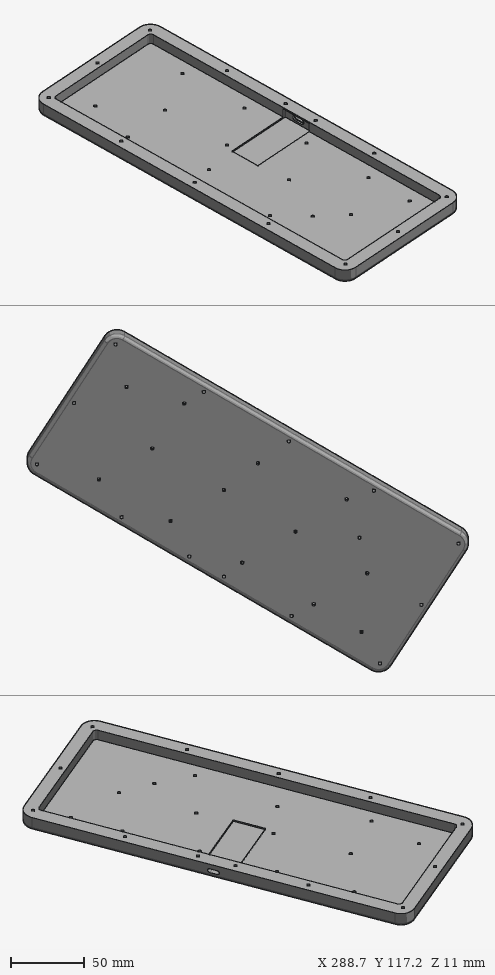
import cadquery as cq

key_pitch = 19.0
key_columns = 14
key_rows = 5
cavity_clearance = 2.0
cavity_length = key_columns * key_pitch + cavity_clearance
cavity_width = key_rows * key_pitch + cavity_clearance
cavity_corner_radius = 2.5
cavity_depth = 8.0

length = 288.7
width = 117.2
height = 11.0
corner_radius = (length - cavity_length) / 2
bottom_fillet = 2.5
floor_z = height - cavity_depth
rear_wall_y = cavity_width / 2

pocket_length = 24.0
pocket_front_y = -3.0
pocket_depth = 1.2
pocket_bottom_z = floor_z - pocket_depth
recess_depth = 2.0
recess_roof = 1.2
recess_top_z = height - recess_roof
recess_back_y = rear_wall_y + recess_depth

port_z = height / 2
port_length = 9.8
port_height = 4.3
port_step_depth = 1.5
port_step = 0.5
port_step_y = recess_back_y + port_step_depth
outer_port_length = port_length - 2 * port_step
outer_port_height = port_height - 2 * port_step

screw_diameter = 2.2
rim_end_x = 138.5
rim_corner_x = 136.8
rim_corner_y = 50.8
rim_side_x = 67.8
rim_side_y = 53.0
rim_port_x = 14.0

rim_screws = [(0, -rim_side_y)]
for side_x in (-1, 1):
    rim_screws.append((side_x * rim_end_x, 0))
    rim_screws.append((side_x * rim_port_x, rim_side_y))
    for side_y in (-1, 1):
        rim_screws.append((side_x * rim_corner_x, side_y * rim_corner_y))
        rim_screws.append((side_x * rim_side_x, side_y * rim_side_y))

grid_screws = [(column, 2) for column in (-5, -2, 1, 4, 6)]
grid_screws += [(column, 0) for column in (-4, -1, 2, 5)]
grid_screws += [(column, -1.5) for column in (-6, -0.5)]
floor_screws = [(column * key_pitch, row * key_pitch) for column, row in grid_screws]
floor_screws += [(77.5, -19.0), (-74.8, -39.0), (55.5, -38.0)]


def make_tray():
    body = cq.Workplane("XY").box(length, width, height, centered=(True, True, False))
    body = body.edges("|Z").fillet(corner_radius)
    body = body.faces("<Z").edges().fillet(bottom_fillet)
    cavity = (
        cq.Workplane("XY", origin=(0, 0, floor_z))
        .rect(cavity_length, cavity_width)
        .extrude(cavity_depth)
        .edges("|Z")
        .fillet(cavity_corner_radius)
    )
    return body.cut(cavity)


def make_controller_pocket():
    return cq.Workplane("XY", origin=(0, pocket_front_y, pocket_bottom_z)).box(
        pocket_length,
        recess_back_y - pocket_front_y,
        recess_top_z - pocket_bottom_z,
        centered=(True, False, False),
    )


def make_port_slot(slot_length, slot_height, start_y, end_y):
    return (
        cq.Workplane("XZ", origin=(0, start_y, port_z))
        .slot2D(slot_length, slot_height)
        .extrude(start_y - end_y)
    )


def make_cable_port():
    inner_slot = make_port_slot(port_length, port_height, rear_wall_y, port_step_y)
    outer_slot = make_port_slot(outer_port_length, outer_port_height, port_step_y, width / 2)
    return inner_slot.union(outer_slot)


def make_screw_holes():
    return (
        cq.Workplane("XY")
        .pushPoints(rim_screws + floor_screws)
        .circle(screw_diameter / 2)
        .extrude(height)
    )


result = (
    make_tray()
    .cut(make_controller_pocket())
    .cut(make_cable_port())
    .cut(make_screw_holes())
)